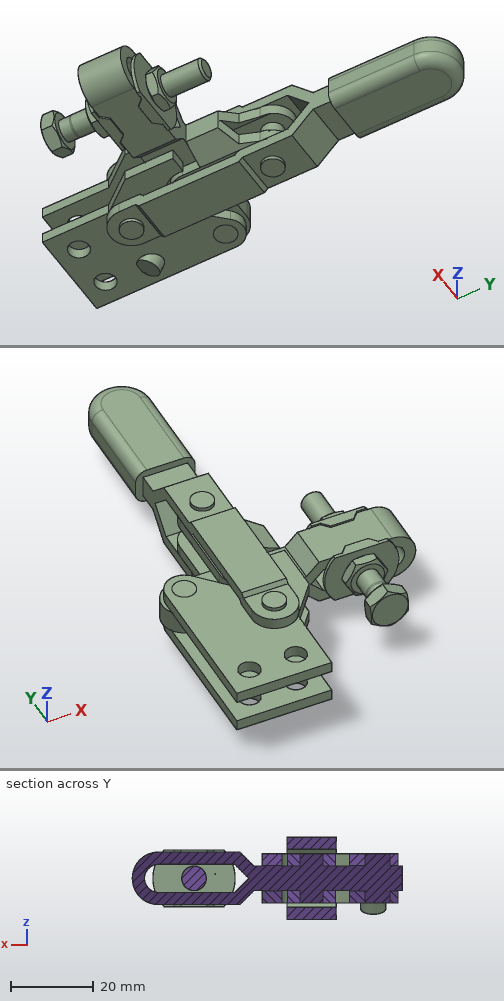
import cadquery as cq
import math


SHEET = 3.0
ARM_Z = SHEET
PLATE_Z = ARM_Z + SHEET
HANDLE_Z = PLATE_Z + SHEET
RELIEF = 1.0
PIN_Z = HANDLE_Z + RELIEF

PIN_D = 6.0
STRIP_W = 12.0
STRIP_R = STRIP_W / 2
HANDLE_X = 16.0
ARM_PIVOT = (0.0, 0.0)
LINK_PIVOT = (HANDLE_X, 1.0)
BASE_PIVOT = (HANDLE_X, -17.0)
UPPER_PIVOT = (HANDLE_X, 23.0)

BASE_LEFT = -5.0
BASE_RIGHT = 20.6
BASE_BOTTOM = -39.5
NOTCH_R = 7.2
EAR_TOP = 1.9
EAR_RIGHT = 28.0
EAR_LOW = -11.6
EAR_ROOT = -20.7
MOUNT_D = 5.6
MOUNT_X = 1.5
MOUNT_PITCH = 12.5
MOUNT_Y = -33.1

STOP_D = 6.2
STOP_FACE = (1.05, -21.3, -7.3)
STOP_TILT = math.radians(28)
STOP_L = 5.0

ARM_END = 59.49
LOOP_R = 6.4
ARM_FORK = 30.0

WEB_END = 28.7
WEB_TOP_KNEE = (23.4, 17.8)
WEB_TOP_END = 15.06

GRIP_R = 8.0
GRIP_Z = 5.0
GRIP_EDGE_R = 3.0
GRIP_START = 43.5
GRIP_TOP = 75.76
GRIP_ROUND = GRIP_TOP - GRIP_R
HANDLE_FORK = 38.0
RELIEF_TOP = 17.0
RELIEF_LOW = -11.3

BOLT_X = 44.5
BOLT_R = 3.0
BOLT_TOP = 21.35
BOLT_TIP_CHAMFER = 0.6
THREAD_END = -15.3
THREAD_RUNOUT = 0.4
SHANK_R = 2.95
HEAD_BOTTOM = -22.7
HEAD_H = 4.0
HEX_FLATS = 10.0
HEAD_FACE_D = 9.6
NUT_FACE_D = 9.0
HEAD_TURN = 26.0
NUT_H = 3.3
WASHER_R = 10.0
WASHER_T = 0.9
WASHER_Z = 6.9
TAB_ROOT = 4.9
TAB_TIP = 3.1
TAB_L = 2.0


def polygon(plane, points, depth):
    """Closed polygon on a plane, extruded to both sides."""
    return cq.Workplane(plane).polyline(points).close().extrude(depth, both=True)


def pins(centers, half_length):
    """Pivot pins centred on the middle plane."""
    end = cq.Workplane("XY", origin=(0, 0, -half_length))
    return end.pushPoints(centers).circle(PIN_D / 2).extrude(2 * half_length)


def strip(y_low, y_high, half_depth):
    """Upright block of strip width, centred on the handle line."""
    return (
        cq.Workplane("XY")
        .center(HANDLE_X, (y_low + y_high) / 2)
        .rect(STRIP_W, y_high - y_low)
        .extrude(half_depth, both=True)
    )


def disc(center, radius, half_depth):
    return cq.Workplane("XY").center(*center).circle(radius).extrude(half_depth, both=True)


def mirrored(points):
    """Half a section above zero, continued by its mirror image below zero."""
    return points + [(u, -v) for u, v in reversed(points) if v != 0]


def make_plate(z_low):
    """Base plate: foot, arm pivot corner, notch for the link and ear on the right."""
    corner_r = -BASE_LEFT
    link_x, link_y = LINK_PIVOT
    spacing = math.hypot(link_x, link_y)
    normal = math.atan2(link_y, link_x) + math.acos((corner_r + NOTCH_R) / spacing)

    def on_corner(angle):
        return (corner_r * math.cos(angle), corner_r * math.sin(angle))

    def on_notch(angle):
        return (link_x + NOTCH_R * math.cos(angle), link_y + NOTCH_R * math.sin(angle))

    notch_start = normal - math.pi
    notch_end = math.asin((EAR_TOP - link_y) / NOTCH_R)
    return (
        cq.Workplane("XY", origin=(0, 0, z_low))
        .moveTo(BASE_LEFT, BASE_BOTTOM)
        .lineTo(BASE_LEFT, 0)
        .threePointArc(on_corner((normal + math.pi) / 2), on_corner(normal))
        .lineTo(*on_notch(notch_start))
        .threePointArc(on_notch((notch_start + notch_end) / 2), on_notch(notch_end))
        .lineTo(EAR_RIGHT, EAR_TOP)
        .lineTo(EAR_RIGHT, EAR_LOW)
        .lineTo(BASE_RIGHT, EAR_ROOT)
        .lineTo(BASE_RIGHT, BASE_BOTTOM)
        .close()
        .extrude(SHEET)
        .cut(pins([ARM_PIVOT, BASE_PIVOT], PIN_Z))
        .cut(
            cq.Workplane("XY")
            .pushPoints([(MOUNT_X + i * MOUNT_PITCH, MOUNT_Y) for i in range(2)])
            .circle(MOUNT_D / 2)
            .extrude(PIN_Z, both=True)
        )
    )


def make_stop():
    """Inclined round stub, ending at the outer face of the lower plate."""
    inward = cq.Vector(0, math.sin(STOP_TILT), math.cos(STOP_TILT))
    stub = cq.Solid.makeCylinder(STOP_D / 2, STOP_L, cq.Vector(*STOP_FACE), inward)
    x, y, _ = STOP_FACE
    reach = 2 * STOP_D
    below_plate = cq.Workplane("XY", origin=(x, y, -PLATE_Z)).rect(reach, reach).extrude(-reach)
    return cq.Workplane(stub).intersect(below_plate)


def make_arm():
    """Arm strip spread into a loop for the bolt, with its two flush pivot pins."""
    inner_r = LOOP_R - SHEET
    loop_x = ARM_END - LOOP_R
    fork_run = LOOP_R - ARM_Z
    fork_tip = ARM_FORK + SHEET * math.tan(math.pi / 8)
    shank = (
        cq.Workplane("XZ")
        .moveTo(0, -ARM_Z)
        .lineTo(ARM_FORK, -ARM_Z)
        .lineTo(ARM_FORK + fork_run, -LOOP_R)
        .lineTo(loop_x, -LOOP_R)
        .threePointArc((ARM_END, 0), (loop_x, LOOP_R))
        .lineTo(ARM_FORK + fork_run, LOOP_R)
        .lineTo(ARM_FORK, ARM_Z)
        .lineTo(0, ARM_Z)
        .close()
        .extrude(STRIP_R, both=True)
    )
    opening = (
        cq.Workplane("XZ")
        .moveTo(fork_tip, 0)
        .lineTo(fork_tip + inner_r, -inner_r)
        .lineTo(loop_x, -inner_r)
        .threePointArc((loop_x + inner_r, 0), (loop_x, inner_r))
        .lineTo(fork_tip + inner_r, inner_r)
        .close()
        .extrude(STRIP_R, both=True)
    )
    round_end = disc(ARM_PIVOT, STRIP_R, ARM_Z)
    return shank.cut(opening).union(round_end).union(pins([ARM_PIVOT, LINK_PIVOT], PLATE_Z))


def make_link():
    """Folded link: two side plates joined by a web that tapers towards +X."""
    left = HANDLE_X - STRIP_R
    fold = HANDLE_X + STRIP_R
    slope = math.atan2(PLATE_Z - ARM_Z, WEB_END - fold)
    inner_fold = fold - SHEET * math.tan(slope / 2)
    inner_tip = inner_fold + ARM_Z / math.tan(slope)
    outer = [(left, PLATE_Z), (fold, PLATE_Z), (WEB_END, ARM_Z)]
    inner = [(inner_tip, 0), (inner_fold, ARM_Z), (left, ARM_Z)]
    section = polygon("XZ", mirrored(outer), UPPER_PIVOT[1] + STRIP_R)
    section = section.cut(polygon("XZ", mirrored(inner), UPPER_PIVOT[1] + STRIP_R))

    web_outline = [
        (HANDLE_X, STRIP_R),
        (WEB_END, STRIP_R),
        (WEB_END, WEB_TOP_END),
        WEB_TOP_KNEE,
        (fold, UPPER_PIVOT[1]),
        (HANDLE_X, UPPER_PIVOT[1]),
    ]
    outline = (
        strip(LINK_PIVOT[1], UPPER_PIVOT[1], PLATE_Z)
        .union(disc(LINK_PIVOT, STRIP_R, PLATE_Z))
        .union(disc(UPPER_PIVOT, STRIP_R, PLATE_Z))
        .union(polygon("XY", web_outline, PLATE_Z))
    )
    arm_space = cq.Workplane("XY").rect(2 * ARM_END, STRIP_W).extrude(ARM_Z, both=True)
    return (
        section.intersect(outline)
        .cut(arm_space)
        .cut(pins([LINK_PIVOT, UPPER_PIVOT], PLATE_Z))
    )


def make_handle():
    """Forked handle: tang, two cheeks with an outward relief, and the two pivot pins."""
    bend = SHEET * math.tan(math.pi / 8)
    bottom = BASE_PIVOT[1] - STRIP_R
    fork_foot = HANDLE_FORK - (HANDLE_Z - SHEET)
    inner_z = HANDLE_Z - SHEET
    fork_tip = HANDLE_FORK - bend
    outer = [
        (GRIP_ROUND, SHEET),
        (HANDLE_FORK, SHEET),
        (fork_foot, HANDLE_Z),
        (RELIEF_TOP + RELIEF, HANDLE_Z),
        (RELIEF_TOP, PIN_Z),
        (RELIEF_LOW, PIN_Z),
        (RELIEF_LOW - RELIEF, HANDLE_Z),
        (bottom, HANDLE_Z),
    ]
    inner = [
        (fork_tip, 0),
        (fork_tip - inner_z, inner_z),
        (RELIEF_TOP + RELIEF - bend, inner_z),
        (RELIEF_TOP - bend, inner_z + RELIEF),
        (RELIEF_LOW + bend, inner_z + RELIEF),
        (RELIEF_LOW + bend - RELIEF, inner_z),
        (bottom, inner_z),
    ]
    reach = HANDLE_X + STRIP_R
    section = polygon("YZ", mirrored(outer), reach).cut(polygon("YZ", mirrored(inner), reach))
    outline = strip(BASE_PIVOT[1], GRIP_ROUND, PIN_Z).union(disc(BASE_PIVOT, STRIP_R, PIN_Z))
    return section.intersect(outline).union(pins([BASE_PIVOT, UPPER_PIVOT], PIN_Z))


def make_grip():
    """Round-ended grip with softened long edges and a pocket for the handle tang."""
    body = (
        cq.Workplane("XY")
        .moveTo(HANDLE_X - GRIP_R, GRIP_START)
        .lineTo(HANDLE_X + GRIP_R, GRIP_START)
        .lineTo(HANDLE_X + GRIP_R, GRIP_ROUND)
        .threePointArc((HANDLE_X, GRIP_TOP), (HANDLE_X - GRIP_R, GRIP_ROUND))
        .close()
        .extrude(GRIP_Z, both=True)
    )
    rim = body.faces("|Z").edges("not(<Y)")
    return rim.fillet(GRIP_EDGE_R).cut(strip(GRIP_START, GRIP_ROUND, SHEET))


def make_hexagon(start, height, turn, face_d):
    """Hexagon along local Z with its corners chamfered at 30 degrees on both ends."""
    corner_r = HEX_FLATS / math.sqrt(3)
    face_r = face_d / 2
    drop = (corner_r - face_r) * math.tan(math.radians(30))
    envelope = (
        cq.Workplane("XZ")
        .polyline([
            (0, 0),
            (face_r, 0),
            (corner_r, drop),
            (corner_r, height - drop),
            (face_r, height),
            (0, height),
        ])
        .close()
        .revolve(360, (0, 0), (0, 1))
    )
    hexagon = cq.Workplane("XY").polygon(6, 2 * corner_r).extrude(height)
    return hexagon.rotate((0, 0, 0), (0, 0, 1), turn).intersect(envelope).translate((0, 0, start))


def make_washer():
    """Trimmed washer on the upper side of the arm, with tabs over both loop faces."""
    disc_part = cq.Workplane("XY", origin=(0, 0, STRIP_R)).circle(WASHER_R).extrude(WASHER_T)
    trim = cq.Workplane("XY").rect(2 * WASHER_R, 2 * WASHER_Z).extrude(STRIP_R + WASHER_T)
    washer = disc_part.intersect(trim)
    tab_outline = [
        (-TAB_ROOT, STRIP_R),
        (-TAB_TIP, STRIP_R - TAB_L),
        (TAB_TIP, STRIP_R - TAB_L),
        (TAB_ROOT, STRIP_R),
    ]
    tabs = polygon("XZ", tab_outline, WASHER_Z).cut(
        cq.Workplane("XY").rect(2 * WASHER_R, 2 * LOOP_R).extrude(STRIP_R)
    )
    return washer.union(tabs)


def make_spindle():
    """Clamping bolt with both nuts and washers, built along local Z and laid along Y."""
    shaft = (
        cq.Workplane("XZ")
        .polyline([
            (0, HEAD_BOTTOM),
            (SHANK_R, HEAD_BOTTOM),
            (SHANK_R, THREAD_END - THREAD_RUNOUT),
            (BOLT_R, THREAD_END),
            (BOLT_R, BOLT_TOP - BOLT_TIP_CHAMFER),
            (BOLT_R - BOLT_TIP_CHAMFER, BOLT_TOP),
            (0, BOLT_TOP),
        ])
        .close()
        .revolve(360, (0, 0), (0, 1))
    )
    seat = STRIP_R + WASHER_T
    washer = make_washer()
    spindle = (
        shaft.union(make_hexagon(HEAD_BOTTOM, HEAD_H, HEAD_TURN, HEAD_FACE_D))
        .union(make_hexagon(seat, NUT_H, 0, NUT_FACE_D))
        .union(make_hexagon(-seat - NUT_H, NUT_H, 0, NUT_FACE_D))
        .union(washer)
        .union(washer.mirror("XY"))
    )
    return spindle.rotate((0, 0, 0), (1, 0, 0), -90).translate((BOLT_X, 0, 0))


upper_plate = make_plate(ARM_Z)
lower_plate = make_plate(-PLATE_Z).union(make_stop())
arm = make_arm()
link = make_link()
handle = make_handle()
grip = make_grip()
spindle = make_spindle()

result = cq.Compound.makeCompound([
    upper_plate.solids().val(),
    lower_plate.solids().val(),
    arm.solids().val(),
    link.solids().val(),
    handle.solids().val(),
    grip.solids().val(),
    spindle.solids().val(),
])